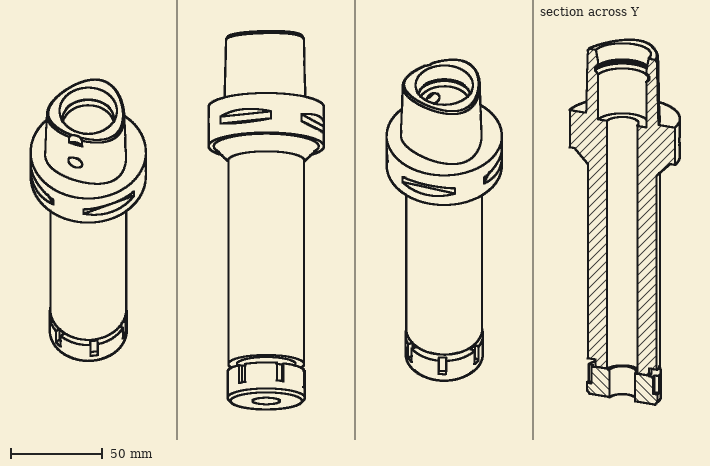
import cadquery as cq
import math

total_height = 203.0
shank_length = 38.0
flange_height = 22.1
body_bottom = 20.7
nut_height = 16.5
flange_top = total_height - shank_length
flange_bottom = flange_top - flange_height

flange_radius = 31.5
cone_top_radius = 28.6
body_radius = 20.7
cone_bottom = flange_bottom - (cone_top_radius - body_radius)
neck_radius = 16.0

shank_base_diameter = 44.0
shank_base_radius = shank_base_diameter / 2
shank_taper_ratio = 1 / 20
shank_top_radius = shank_base_radius - shank_length * shank_taper_ratio / 2
lobe_offset = 1.6
curve_points = 24
shank_chamfer_width = 0.8
shank_chamfer_height = 1.5

mouth_radius = 15.6
mouth_depth = 7.1
pilot_radius = 14.2
groove_radius = 16.2
groove_top_depth = 9.0
groove_bottom_depth = 14.2
pilot_floor_depth = 40.5
through_radius = 9.0

notch_radius = 6.5
notch_wall_y = -18.0
notch_depth = 6.3
cross_hole_radius = 4.0
cross_hole_z = total_height - 22.3

gripper_count = 4
gripper_z = flange_top - 12.2
gripper_floor_distance = 27.6
gripper_floor_height = 3.9
gripper_mouth_height = 7.5

nut_radius = 21.1
nut_bore_radius = 7.5
nut_chamfer_width = 1.6
nut_chamfer_height = 1.8
nut_slot_count = 6
nut_slot_width = 4.0
nut_slot_depth = 2.6
nut_slot_height = 10.0


def trilobe_wire(mean_radius, z):
    """Closed three-lobed curve with one lobe toward +Y and a flat side toward -Y."""
    points = []
    for i in range(curve_points):
        angle = 2 * math.pi * i / curve_points
        across = mean_radius * math.sin(angle) + lobe_offset * math.sin(2 * angle)
        along = mean_radius * math.cos(angle) - lobe_offset * math.cos(2 * angle)
        points.append(cq.Vector(across, -along, z))
    return cq.Wire.assembleEdges([cq.Edge.makeSpline(points, periodic=True)])


def make_shank():
    """Tapered three-lobed shank with a bevelled end."""
    bevel_z = total_height - shank_chamfer_height
    base = trilobe_wire(shank_base_radius, flange_top)
    bevel_start = trilobe_wire(shank_top_radius, bevel_z)
    end = trilobe_wire(shank_top_radius - shank_chamfer_width, total_height)
    taper = cq.Solid.makeLoft([base, bevel_start], True)
    bevel = cq.Solid.makeLoft([bevel_start, end], True)
    return cq.Workplane(taper).union(cq.Workplane(bevel))


def make_turned_body():
    """Flange, cone, body and neck as one revolved outline."""
    outline = [
        (0, flange_top),
        (flange_radius, flange_top),
        (flange_radius, flange_bottom),
        (cone_top_radius, flange_bottom),
        (body_radius, cone_bottom),
        (body_radius, body_bottom),
        (neck_radius, body_bottom),
        (neck_radius, nut_height),
        (0, nut_height),
    ]
    return cq.Workplane("XZ").polyline(outline).close().revolve(360, (0, 0), (0, 1))


def make_bore():
    """Tapered mouth, relief groove, pilot bore and through hole as one revolved cutter."""
    groove_bevel = groove_radius - pilot_radius
    groove_top = total_height - groove_top_depth
    groove_bottom = total_height - groove_bottom_depth
    pilot_floor = total_height - pilot_floor_depth
    outline = [
        (0, total_height),
        (mouth_radius, total_height),
        (pilot_radius, total_height - mouth_depth),
        (pilot_radius, groove_top),
        (groove_radius, groove_top - groove_bevel),
        (groove_radius, groove_bottom + groove_bevel),
        (pilot_radius, groove_bottom),
        (pilot_radius, pilot_floor),
        (through_radius, pilot_floor),
        (through_radius, nut_height),
        (0, nut_height),
    ]
    return cq.Workplane("XZ").polyline(outline).close().revolve(360, (0, 0), (0, 1))


def make_key_notch():
    """Upright round cutter that scoops the end of the flat side."""
    return (
        cq.Workplane("XY", origin=(0, notch_wall_y - notch_radius, total_height - notch_depth))
        .circle(notch_radius)
        .extrude(notch_depth)
    )


def make_cross_hole():
    """Radial hole from the flat side into the pilot bore."""
    return (
        cq.Workplane("XZ", origin=(0, 0, cross_hole_z))
        .circle(cross_hole_radius)
        .extrude(flange_radius)
    )


def make_gripper_groove(angle):
    """Straight groove with sloped walls across the flange rim at the given angle."""
    floor_half = gripper_floor_height / 2
    mouth_half = gripper_mouth_height / 2
    profile = [
        (gripper_floor_distance, gripper_z - floor_half),
        (gripper_floor_distance, gripper_z + floor_half),
        (flange_radius, gripper_z + mouth_half),
        (flange_radius, gripper_z - mouth_half),
    ]
    groove = cq.Workplane("XZ").polyline(profile).close().extrude(flange_radius, both=True)
    return groove.rotate((0, 0, 0), (0, 0, 1), angle)


def make_holder():
    holder = make_turned_body().union(make_shank())
    holder = holder.cut(make_bore()).cut(make_key_notch()).cut(make_cross_hole())
    step = 360 / gripper_count
    for i in range(gripper_count):
        holder = holder.cut(make_gripper_groove(step * (i + 0.5)))
    return holder


def make_nut():
    """Ring with a bevelled face and wrench slots open toward the holder."""
    outline = [
        (nut_bore_radius, 0),
        (nut_radius - nut_chamfer_width, 0),
        (nut_radius, nut_chamfer_height),
        (nut_radius, nut_height),
        (nut_bore_radius, nut_height),
    ]
    nut = cq.Workplane("XZ").polyline(outline).close().revolve(360, (0, 0), (0, 1))
    slots = (
        cq.Workplane("XY", origin=(0, 0, nut_height))
        .polarArray(nut_radius, 0, 360, nut_slot_count)
        .rect(2 * nut_slot_depth, nut_slot_width)
        .extrude(-nut_slot_height)
    )
    return nut.cut(slots)


holder = make_holder()
nut = make_nut()
result = cq.Compound.makeCompound([holder.val(), nut.val()])